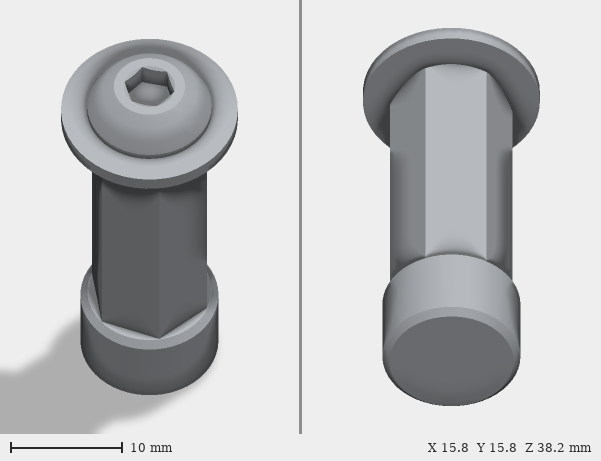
import cadquery as cq
import math

total_height = 38.22
foot_height = 8.0
washer_thickness = 1.38
head_height = 3.35
standoff_height = total_height - foot_height - washer_thickness - head_height

standoff_base_z = foot_height
washer_base_z = standoff_base_z + standoff_height
head_base_z = washer_base_z + washer_thickness

foot_diameter = 12.4
foot_chamfer = 0.6

standoff_across_flats = 9.55
standoff_turn = 7.5
standoff_top_radius = 4.75
standoff_corner_drop = 0.8

washer_diameter = 15.85

head_diameter = 11.2
head_rim_height = 0.57
head_top_diameter = 6.4
dome_bulge = 0.35
socket_across_flats = 3.97
socket_depth = 2.2
socket_lead_in_angle = 30.0


def hexagon_corner_radius(across_flats):
    """Distance from the centre of a hexagon to its corners."""
    return across_flats / math.sqrt(3)


def hexagonal_bar(across_flats, height):
    """Hexagonal prism standing on the XY plane with two of its corners on the Y axis."""
    corner_diameter = 2 * hexagon_corner_radius(across_flats)
    bar = cq.Workplane("XY").polygon(6, corner_diameter).extrude(height)
    return bar.rotate((0, 0, 0), (0, 0, 1), 90)


def make_foot():
    foot = cq.Workplane("XY").circle(foot_diameter / 2).extrude(foot_height)
    return foot.faces("<Z or >Z").chamfer(foot_chamfer)


def make_standoff():
    corner_radius = hexagon_corner_radius(standoff_across_flats)
    bar = hexagonal_bar(standoff_across_flats, standoff_height)
    chamfer_envelope = (
        cq.Workplane("XZ")
        .lineTo(corner_radius, 0)
        .lineTo(corner_radius, standoff_height - standoff_corner_drop)
        .lineTo(standoff_top_radius, standoff_height)
        .lineTo(0, standoff_height)
        .close()
        .revolve(360, (0, 0, 0), (0, 1, 0))
    )
    bar = bar.intersect(chamfer_envelope)
    bar = bar.rotate((0, 0, 0), (0, 0, 1), -standoff_turn)
    return bar.translate((0, 0, standoff_base_z))


def make_washer():
    washer = cq.Workplane("XY").circle(washer_diameter / 2).extrude(washer_thickness)
    return washer.translate((0, 0, washer_base_z))


def make_head_blank():
    """Head without its socket, revolved about Z."""
    rim_radius = head_diameter / 2
    top_radius = head_top_diameter / 2
    chord_run = rim_radius - top_radius
    chord_rise = head_height - head_rim_height
    chord = math.hypot(chord_run, chord_rise)
    dome_middle = (
        (rim_radius + top_radius) / 2 + dome_bulge * chord_rise / chord,
        (head_rim_height + head_height) / 2 + dome_bulge * chord_run / chord,
    )
    return (
        cq.Workplane("XZ")
        .lineTo(rim_radius, 0)
        .lineTo(rim_radius, head_rim_height)
        .threePointArc(dome_middle, (top_radius, head_height))
        .lineTo(0, head_height)
        .close()
        .revolve(360, (0, 0, 0), (0, 1, 0))
    )


def make_socket():
    """Hexagonal recess with a countersink whose rim passes through the hexagon's corners."""
    recess = hexagonal_bar(socket_across_flats, socket_depth)
    recess = recess.translate((0, 0, head_height - socket_depth))
    lead_in_radius = hexagon_corner_radius(socket_across_flats)
    lead_in_depth = lead_in_radius * math.tan(math.radians(socket_lead_in_angle))
    lead_in = (
        cq.Workplane("XZ")
        .moveTo(0, head_height)
        .lineTo(lead_in_radius, head_height)
        .lineTo(0, head_height - lead_in_depth)
        .close()
        .revolve(360, (0, 0, 0), (0, 1, 0))
    )
    return recess.union(lead_in)


def make_button_head():
    head = make_head_blank().cut(make_socket())
    return head.translate((0, 0, head_base_z))


foot = make_foot()
standoff = make_standoff()
washer = make_washer()
button_head = make_button_head()

result = cq.Compound.makeCompound([
    foot.val(),
    standoff.val(),
    washer.val(),
    button_head.val(),
])